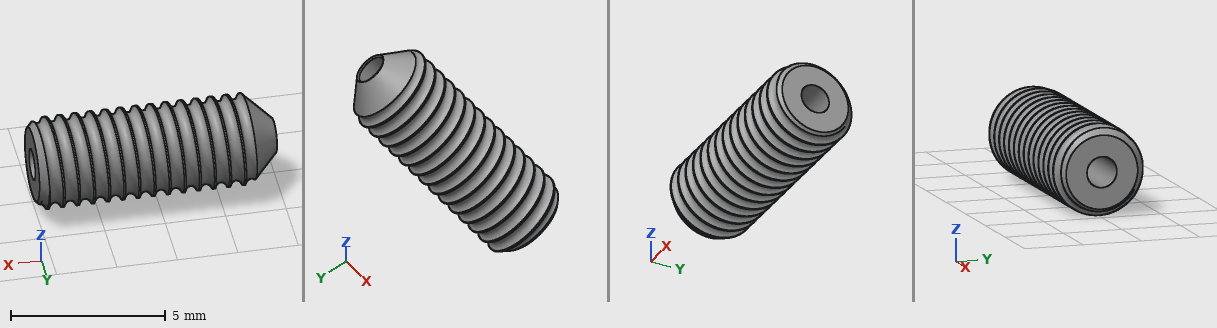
import cadquery as cq
import math

length = 8.0
crest_radius = 1.5
tip_radius = 0.57
tail_radius = 1.22
hole_radius = 0.51
hole_chamfer = tip_radius - hole_radius

pitch = 0.5
root_radius = 1.316
crest_width = pitch / 8
flank_angle = math.radians(30)
overcut = 0.02
groove_phase = 0.37
lead_in_turns = 2
section_turns = 5
section_count = math.ceil((length / pitch + lead_in_turns) / section_turns)
seam_angle = 37


def make_blank():
    """Turned body with 45-degree cones at both ends and an axial through hole."""
    tip_length = crest_radius - tip_radius
    tail_length = crest_radius - tail_radius
    return (
        cq.Workplane("XY")
        .moveTo(0, tip_radius)
        .lineTo(tip_length, crest_radius)
        .lineTo(length - tail_length, crest_radius)
        .lineTo(length, tail_radius)
        .lineTo(length, hole_radius)
        .lineTo(hole_chamfer, hole_radius)
        .close()
        .revolve(360, (0, 0, 0), (1, 0, 0))
        .rotate((0, 0, 0), (1, 0, 0), seam_angle)
    )


def make_groove_section():
    """First section of the helical cutter, with straight flanks tangent to a round root."""
    depth = crest_radius - root_radius
    half_opening = (pitch - crest_width) / 2
    slope = math.tan(flank_angle)
    root_arc = (half_opening - depth * slope) / (
        math.cos(flank_angle) - (1 - math.sin(flank_angle)) * slope
    )
    tangent_radius = root_radius + root_arc * (1 - math.sin(flank_angle))
    tangent_half_width = root_arc * math.cos(flank_angle)
    outer_radius = crest_radius + overcut
    outer_half_width = half_opening + overcut * slope

    helix = cq.Wire.makeHelix(pitch, section_turns * pitch, crest_radius)
    cutter = (
        cq.Workplane("XZ")
        .moveTo(outer_radius, -outer_half_width)
        .lineTo(tangent_radius, -tangent_half_width)
        .threePointArc((root_radius, 0), (tangent_radius, tangent_half_width))
        .lineTo(outer_radius, outer_half_width)
        .close()
        .sweep(cq.Workplane(obj=helix), isFrenet=True)
    )
    start = groove_phase - lead_in_turns * pitch
    return cutter.rotate((0, 0, 0), (0, 1, 0), 90).translate((start, 0, 0))


result = make_blank()
groove_section = make_groove_section()
for index in range(section_count):
    shift = index * section_turns * pitch
    result = result.cut(groove_section.translate((shift, 0, 0)))